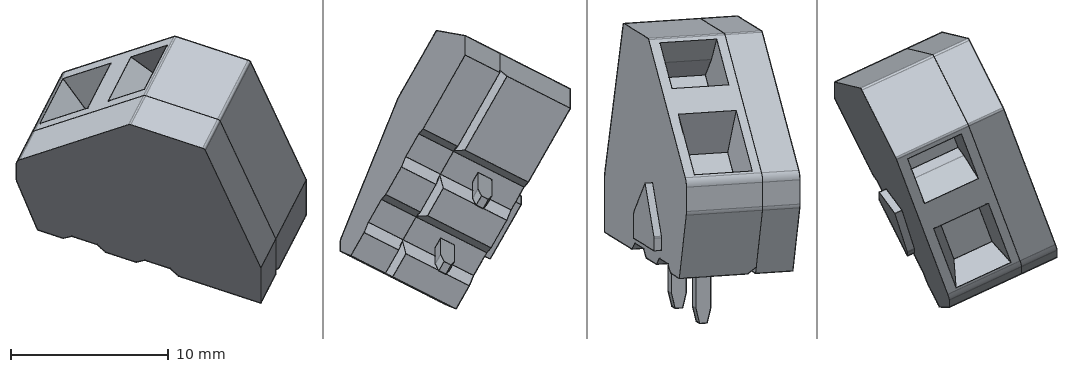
import cadquery as cq
import math


length = 16.75
height = 14.28
plate_thickness = 2.49
housing_width = 5.08
tab_thickness = 0.5
back_y = plate_thickness + housing_width

entry_face_bottom_z = 4.49
entry_face_top_z = 6.52
foot_x = 1.457
rear_face_top_z = 3.71
rear_lean_angle = 20
entry_edge_radius = 0.8
top_edge_radius = 0.2
top_rear_x = length - (height - rear_face_top_z) * math.tan(math.radians(rear_lean_angle))
top_front_x = height - entry_face_top_z

pin_pitch = 5.0
first_pin_x = 4.67
pin_xs = [first_pin_x, first_pin_x + pin_pitch]
recess_depth = 0.51
recess_top_width = 1.74
recess_bottom_width = 2.9
seam_chamfer_width = 0.52
seam_chamfer_height = 0.45

pin_thickness = 0.72
pin_width = 1.0
pin_tip_width = 0.5
pin_tip_length = 1.0
pin_length = 3.62
pin_y = plate_thickness + housing_width / 2

funnel_low = 0.51
funnel_high = 5.14
funnel_front_y = plate_thickness + 0.58
funnel_back_y = plate_thickness + 4.43
funnel_depth = 2.65
funnel_low_inset = 0.42
funnel_high_inset = 1.40
funnel_front_inset = 0.28
funnel_back_inset = 0.89

slot_low = 7.10
slot_high = 10.6
slot_front_y = plate_thickness + 0.62
slot_back_y = plate_thickness + 4.40
slot_low_inset = 0.59
slot_low_taper_depth = 2.39
slot_high_inset = 0.33
slot_high_taper_depth = 1.83
slot_depth = 3.6

tab_left_x = 5.08
tab_right_x = 9.23
tab_bottom_z = 1.11
tab_left_top_z = 1.98
tab_peak_x = 6.91
tab_peak_z = 5.13
tab_right_top_z = tab_peak_z - (tab_right_x - tab_peak_x)
tab_edge_radius = 0.2


def extrude_along_y(points, y_start, y_end):
    """Prism whose (x, z) outline runs from y_start to y_end."""
    return cq.Workplane("XZ", origin=(0, y_start, 0)).polyline(points).close().extrude(y_start - y_end)


def round_edge(body, x, z, radius):
    """Round the edge that runs along Y nearest to (x, z)."""
    y = body.val().Center().y
    return body.edges("|Y").edges(cq.selectors.NearestToPointSelector((x, y, z))).fillet(radius)


def profile_slab(y_start, y_end):
    """Slice of the terminal outline with the pin recesses running through it."""
    outline = [
        (foot_x, 0),
        (0, entry_face_bottom_z),
        (0, entry_face_top_z),
        (top_front_x, height),
        (top_rear_x, height),
        (length, rear_face_top_z),
        (length, 0),
    ]
    slab = extrude_along_y(outline, y_start, y_end)
    slab = round_edge(slab, 0, entry_face_bottom_z, entry_edge_radius)
    slab = round_edge(slab, 0, entry_face_top_z, entry_edge_radius)
    slab = round_edge(slab, top_front_x, height, top_edge_radius)
    slab = round_edge(slab, top_rear_x, height, top_edge_radius)
    for pin_x in pin_xs:
        recess = [
            (pin_x - recess_bottom_width / 2, 0),
            (pin_x - recess_top_width / 2, recess_depth),
            (pin_x + recess_top_width / 2, recess_depth),
            (pin_x + recess_bottom_width / 2, 0),
        ]
        slab = slab.cut(extrude_along_y(recess, y_start, y_end))
    return slab


def face_point(along, depth):
    """(x, z) of a point at a distance along the 45-degree operating face and a depth below it."""
    return (along + depth) / math.sqrt(2), entry_face_top_z + (along - depth) / math.sqrt(2)


def wire_funnel():
    """Four-sided funnel tapering from the operating face to a smaller floor."""
    mouth_plane = cq.Plane(origin=(0, 0, entry_face_top_z), xDir=(1, 0, 1), normal=(-1, 0, 1))
    mouth = [
        (funnel_low, funnel_front_y),
        (funnel_high, funnel_front_y),
        (funnel_high, funnel_back_y),
        (funnel_low, funnel_back_y),
    ]
    floor = [
        (funnel_low + funnel_low_inset, funnel_front_y + funnel_front_inset),
        (funnel_high - funnel_high_inset, funnel_front_y + funnel_front_inset),
        (funnel_high - funnel_high_inset, funnel_back_y - funnel_back_inset),
        (funnel_low + funnel_low_inset, funnel_back_y - funnel_back_inset),
    ]
    return (
        cq.Workplane(mouth_plane)
        .polyline(mouth).close()
        .workplane(offset=-funnel_depth)
        .polyline(floor).close()
        .loft(ruled=True)
    )


def actuation_slot():
    """Screwdriver slot square to the operating face, with its low and high walls flared at the mouth."""
    shaft_low = slot_low + slot_low_inset
    shaft_high = slot_high - slot_high_inset
    section = [
        face_point(slot_low, 0),
        face_point(shaft_low, slot_low_taper_depth),
        face_point(shaft_low, slot_depth),
        face_point(shaft_high, slot_depth),
        face_point(shaft_high, slot_high_taper_depth),
        face_point(slot_high, 0),
    ]
    return extrude_along_y(section, slot_front_y, slot_back_y)


def seam_chamfer():
    """Wedge along the housing's bottom edge next to the plate."""
    return (
        cq.Workplane("YZ")
        .moveTo(plate_thickness, 0)
        .lineTo(plate_thickness + seam_chamfer_width, 0)
        .lineTo(plate_thickness, seam_chamfer_height)
        .close()
        .extrude(length)
    )


def solder_pin(pin_x):
    """Flat pin hanging from the recess, its tip tapered in width."""
    shoulder_z = pin_tip_length - pin_length
    return (
        cq.Workplane("YZ", origin=(pin_x - pin_thickness / 2, pin_y, 0))
        .moveTo(-pin_width / 2, recess_depth)
        .lineTo(-pin_width / 2, shoulder_z)
        .lineTo(-pin_tip_width / 2, -pin_length)
        .lineTo(pin_tip_width / 2, -pin_length)
        .lineTo(pin_width / 2, shoulder_z)
        .lineTo(pin_width / 2, recess_depth)
        .close()
        .extrude(pin_thickness)
    )


def coding_tab():
    """Low pointed tab standing out from the back of the housing."""
    outline = [
        (tab_left_x, tab_bottom_z),
        (tab_left_x, tab_left_top_z),
        (tab_peak_x, tab_peak_z),
        (tab_right_x, tab_right_top_z),
        (tab_right_x, tab_bottom_z),
    ]
    tab = extrude_along_y(outline, back_y, back_y + tab_thickness)
    tab = round_edge(tab, tab_left_x, tab_left_top_z, tab_edge_radius)
    return round_edge(tab, tab_right_x, tab_right_top_z, tab_edge_radius)


side_plate = profile_slab(0, plate_thickness)

housing = profile_slab(plate_thickness, back_y)
housing = housing.cut(wire_funnel()).cut(actuation_slot()).cut(seam_chamfer())
for pin_x in pin_xs:
    housing = housing.union(solder_pin(pin_x))
housing = housing.union(coding_tab())

result = cq.Compound.makeCompound([side_plate.val(), *housing.vals()])